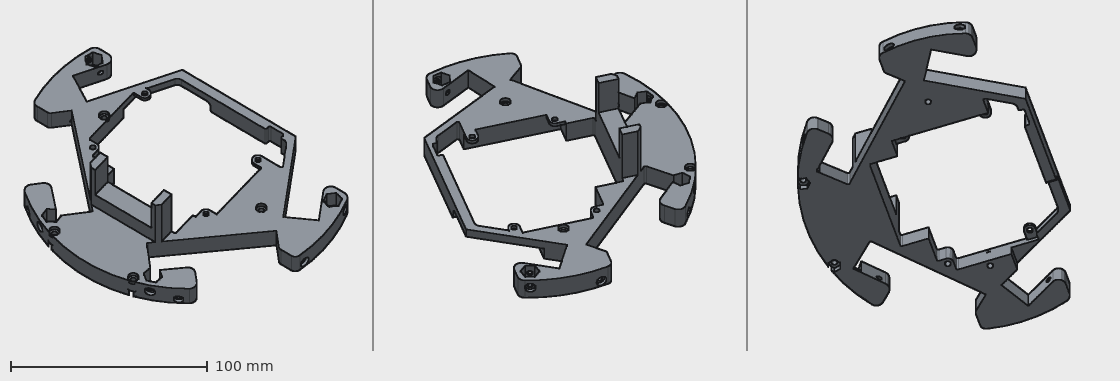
import cadquery as cq
import math

plate_height = 12.0
outer_radius = 85.8
rear_y = 43.5
rear_half_width = 36.0

rear_slant = 60.0
rear_slant_length = 52.7
front_slant = 43.8
front_slant_length = 66.4
notch_depth = 18.2
side_arm_rear_y = 29.2
side_arm_front_y = -19.7
front_notch_x = -65.0
front_notch_y = -11.3
front_arm_length = 22.3
arm_round = 4.0
front_round = 3.5
heel_round = 2.5
neck_round = 0.9
beyond = 102.9
cut_overrun = 1.7

window_left = -46.8
window_right = 34.3
window_rear_y = 38.0
window_rear_half = 34.5
window_step_y = -28.6
window_front_y = -43.5
window_front_half = 25.0
window_round = 0.9
window_rear_round = 3.5
rear_relief_left = 21.3
rear_relief_right = 30.5
rear_relief_y = 41.0

tab_left_x = -42.0
tab_right_x = 29.8
tab_rear_y = 19.9
tab_front_y = -24.0
tab_radius = 3.1
tab_thickness = 2.0

opening_left = -61.7
opening_right = -14.0
opening_front_y = 8.4
opening_height = 6.9
opening_round = 2.5
opening_chamfer = 1.0

screw_diameter = 3.0
head_diameter = 5.5
small_head_diameter = 5.0
head_depth = 2.2
radial_head_depth = 2.0
radial_screw_length = 19.7
side_screw_x = 49.9
side_screw_y = -4.0
front_screw_x = 25.0
front_screw_y = -79.0
front_nut_width = 6.0
front_nut_depth = 4.0
arm_nut_radius = 78.9
arm_nut_width = 8.4
arm_nut_floor = 2.0
side_nut_angle = 163.9
side_hole_angle = 189.0
front_nut_angle = 245.9
front_hole_angle = 236.1
nut_screw_z = 6.9
side_hole_z = 3.5
front_hole_z = 3.1

bracket_half_width = 22.6
bracket_gap_half = 17.8
bracket_depth = 10.6
bracket_top = 42.0
bracket_sill = 21.8


def step(point, angle, length):
    """Point reached from another by going a length at an angle in degrees."""
    a = math.radians(angle)
    return (point[0] + length * math.cos(a), point[1] + length * math.sin(a))


def polar(radius, angle):
    return step((0, 0), angle, radius)


def mirrored(point):
    return (-point[0], point[1])


def on_circle(point, angle):
    """Where a ray from a point inside the outer circle leaves it."""
    a = math.radians(angle)
    along = point[0] * math.cos(a) + point[1] * math.sin(a)
    inside = outer_radius ** 2 - point[0] ** 2 - point[1] ** 2
    return step(point, angle, -along + math.sqrt(along ** 2 + inside))


def round_corners(solid, points, radius):
    """Round the upright edges that stand at the given points."""
    reach = 0.09
    for x, y in points:
        box = cq.selectors.BoxSelector(
            (x - reach, y - reach, -beyond), (x + reach, y + reach, beyond)
        )
        solid = solid.edges("|Z").edges(box).fillet(radius)
    return solid


def block(x0, x1, y0, y1, z0, z1):
    return cq.Workplane("XY").box(x1 - x0, y1 - y0, z1 - z0, centered=False).translate((x0, y0, z0))


def plate_outline(height):
    """Outer shape of the plate: arms cut from a disc by the four notches beside them."""
    rear_corner = (-rear_half_width, rear_y)
    side_notch = step(rear_corner, 180 + rear_slant, rear_slant_length)
    side_notch_end = step(side_notch, 90 + rear_slant, notch_depth)
    arm_rise = (side_arm_rear_y - side_notch_end[1]) / math.sin(math.radians(rear_slant))
    side_arm_tip = step(side_notch_end, rear_slant, arm_rise)

    across = 270 - front_slant
    front_notch = (front_notch_x, front_notch_y)
    arm_drop = (front_notch_y - side_arm_front_y) / math.cos(math.radians(front_slant))
    side_arm_heel = step(front_notch, across, arm_drop)
    neck = step(front_notch, -front_slant, front_slant_length)
    front_notch_end = step(neck, across, notch_depth)
    front_arm_tip = step(front_notch_end, 180 - front_slant, front_arm_length)
    front_arm_side = step(front_arm_tip, across, 2 * notch_depth)

    left = [
        rear_corner,
        side_notch,
        side_notch_end,
        side_arm_tip,
        (-beyond, side_arm_rear_y),
        (-beyond, side_arm_front_y),
        side_arm_heel,
        front_notch,
        neck,
        front_notch_end,
        front_arm_tip,
        front_arm_side,
        (front_arm_side[0], -beyond),
    ]
    right = [mirrored(p) for p in reversed(left)]
    disc = cq.Workplane("XY").circle(outer_radius).extrude(height)
    plate = cq.Workplane("XY").polyline(left + right).close().extrude(height).intersect(disc)

    corner_rounds = [
        (side_arm_tip, arm_round),
        (on_circle((side_arm_tip[0], side_arm_rear_y), 180), arm_round),
        (on_circle(side_arm_heel, 180), front_round),
        (side_arm_heel, heel_round),
        (neck, neck_round),
        (front_arm_tip, arm_round),
        (on_circle(front_arm_tip, across), arm_round),
    ]
    for point, radius in corner_rounds:
        plate = round_corners(plate, [point, mirrored(point)], radius)
    return plate


def window():
    """Opening for the circuit board, where only the front left tab is full height."""
    ledge_y = tab_rear_y + tab_radius
    ledge_half = window_rear_half + (window_rear_y - ledge_y) / math.tan(math.radians(rear_slant))
    tab_end_y = tab_front_y + tab_radius
    tab_left_edge = tab_left_x + tab_radius
    rear_corners = [(-window_rear_half, window_rear_y), (window_rear_half, window_rear_y)]
    ledge_corners = [(ledge_half, ledge_y), (-ledge_half, ledge_y)]
    tab_corner = (tab_left_edge, tab_end_y)
    front_corners = [(-window_front_half, window_front_y), (window_front_half, window_front_y)]
    relief = [
        (rear_relief_right, window_rear_y),
        (rear_relief_right, rear_relief_y),
        (rear_relief_left, rear_relief_y),
        (rear_relief_left, window_rear_y),
    ]
    left_side = [
        (window_left, ledge_y),
        (window_left, tab_end_y),
        tab_corner,
        (tab_left_edge, window_step_y),
        (-window_front_half, window_step_y),
    ]
    right_side = [
        (window_front_half, window_step_y),
        (window_right, window_step_y),
        (window_right, ledge_y),
    ]
    outline = rear_corners[:1] + ledge_corners[1:] + left_side + front_corners
    outline += right_side + ledge_corners[:1] + rear_corners[1:] + relief
    cut = cq.Workplane("XY").polyline(outline).close().extrude(plate_height)
    cut = round_corners(cut, rear_corners, window_rear_round)
    cut = round_corners(cut, [tab_corner], tab_radius)
    board_corners = [left_side[1], left_side[3]]
    return round_corners(cut, ledge_corners + front_corners + relief + board_corners, window_round)


def thin_tabs():
    """Tabs flush with the top: two carry the rear board screws, one the front right screw."""
    base = cq.Workplane("XY", origin=(0, 0, plate_height - tab_thickness))
    front_right_end = tab_front_y + tab_radius
    centres = [(tab_left_x, tab_rear_y), (tab_right_x, tab_rear_y), (tab_right_x, tab_front_y)]
    tabs = base.pushPoints(centres).circle(tab_radius).extrude(tab_thickness)
    strips = [
        (window_left, tab_left_x, tab_rear_y - tab_radius, tab_rear_y + tab_radius),
        (tab_right_x, window_right, tab_rear_y - tab_radius, tab_rear_y + tab_radius),
        (tab_right_x, window_right, window_step_y, front_right_end),
        (tab_right_x - tab_radius, tab_right_x, window_step_y, tab_front_y),
    ]
    for x0, x1, y0, y1 in strips:
        tabs = tabs.union(block(x0, x1, y0, y1, plate_height - tab_thickness, plate_height))
    return tabs


def connector_opening():
    """Low opening through the rear left corner, rounded above and chamfered below on its right."""
    cut = block(opening_left, opening_right, opening_front_y, rear_y + cut_overrun, 0, opening_height)
    cut = cut.edges("|Y and >X and >Z").fillet(opening_round)
    flare = [(0, 0), (opening_chamfer, 0), (0, opening_chamfer)]
    wedge = cq.Workplane("XZ", origin=(opening_right, rear_y + cut_overrun, 0)).polyline(flare).close()
    return cut.union(wedge.extrude(rear_y + cut_overrun - opening_front_y))


def bracket():
    """Two posts on a sill, trimmed by the slanted sides of the plate."""
    rear = window_front_y
    front = rear - bracket_depth
    full = block(-bracket_half_width, bracket_half_width, front, rear, 0, bracket_top)
    gap = block(-bracket_gap_half, bracket_gap_half, front, rear, bracket_sill, bracket_top)
    return full.cut(gap).intersect(plate_outline(bracket_top))


def upright_screw(x, y):
    """Through hole with a seat for the screw head in the top face."""
    hole = cq.Workplane("XY", origin=(x, y, 0)).circle(screw_diameter / 2).extrude(plate_height)
    seat = cq.Workplane("XY", origin=(x, y, plate_height)).circle(head_diameter / 2).extrude(-head_depth)
    return hole.union(seat)


def radial_screw(angle, z, head):
    """Screw hole that runs from the outer arc towards the centre."""
    x, y = polar(outer_radius + cut_overrun, angle)
    inward = cq.Plane(origin=(x, y, z), xDir=(0, 0, 1), normal=(-x, -y, 0))
    hole = cq.Workplane(inward).circle(screw_diameter / 2).extrude(radial_screw_length + cut_overrun)
    seat = cq.Workplane(inward).circle(head / 2).extrude(radial_head_depth + cut_overrun)
    return hole.union(seat)


def nut_pocket(x, y, flat_angle, width, z0, z1):
    """Upright hexagonal pocket with one flat facing the given direction."""
    corner_diameter = width / math.cos(math.radians(30))
    nut = cq.Workplane("XY").polygon(6, corner_diameter).extrude(z1 - z0)
    return nut.rotate((0, 0, 0), (0, 0, 1), flat_angle + 30).translate((x, y, z0))


def arm_nut_pocket(angle):
    """Nut pocket in an arm, open at the top, with a flat facing outwards."""
    x, y = polar(arm_nut_radius, angle)
    return nut_pocket(x, y, angle, arm_nut_width, arm_nut_floor, plate_height)


plate = plate_outline(plate_height).cut(window()).union(thin_tabs())
plate = plate.cut(connector_opening()).union(bracket())

board_screws = [(x, y) for x in (tab_left_x, tab_right_x) for y in (tab_rear_y, tab_front_y)]
board_holes = cq.Workplane("XY").pushPoints(board_screws).circle(screw_diameter / 2)
plate = plate.cut(board_holes.extrude(plate_height))

front_nut_flat = math.degrees(math.atan2(front_screw_y, front_screw_x))

left_cuts = [
    upright_screw(-side_screw_x, side_screw_y),
    upright_screw(-front_screw_x, front_screw_y),
    nut_pocket(-front_screw_x, front_screw_y, front_nut_flat, front_nut_width, 0, front_nut_depth),
    arm_nut_pocket(side_nut_angle),
    arm_nut_pocket(front_nut_angle),
    radial_screw(side_nut_angle, nut_screw_z, head_diameter),
    radial_screw(side_hole_angle, side_hole_z, head_diameter),
    radial_screw(front_nut_angle, nut_screw_z, head_diameter),
    radial_screw(front_hole_angle, front_hole_z, small_head_diameter),
]
for cut in left_cuts:
    plate = plate.cut(cut).cut(cut.mirror("YZ"))

result = plate